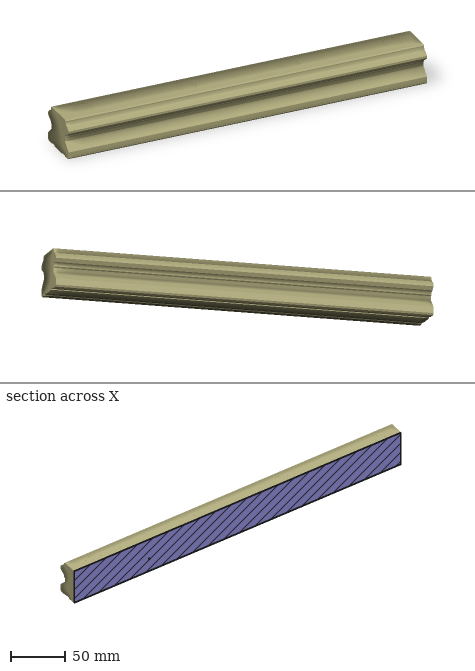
import cadquery as cq
import math

width = 45.0
length = 365.0
height = 38.0
half_width = width / 2

head_half_width = 16.0
head_chamfer = 1.1

lip_centre_z = 28.2
lip_land = 2.2
lip_flank = 3.2
lip_root_x = half_width - lip_flank
lip_land_top_z = lip_centre_z + lip_land / 2
lip_land_bottom_z = lip_centre_z - lip_land / 2
lip_root_top_z = lip_land_top_z + lip_flank
lip_root_bottom_z = lip_land_bottom_z - lip_flank

groove_sagitta = 1.1
lower_groove_end_z = 20.5

waist_half_width = 14.6
waist_top_z = 19.6
foot_side_top_z = 7.7
foot_slope = half_width - waist_half_width
waist_bottom_z = foot_side_top_z + foot_slope
foot_chamfer = 1.6

channel_inner_x = 8.5
channel_outer_x = 14.3
channel_depth = 0.9

seat_diameter = 20.0
seat_depth = 0.1
seat_pitch = 105.0
seat_count = 4


def arc_midpoint(start, end, sagitta):
    """Midpoint of an arc that bows by sagitta to the right of its chord."""
    dx = end[0] - start[0]
    dz = end[1] - start[1]
    chord = math.hypot(dx, dz)
    middle_x = (start[0] + end[0]) / 2
    middle_z = (start[1] + end[1]) / 2
    return (middle_x + dz / chord * sagitta, middle_z - dx / chord * sagitta)


def make_half_rail():
    """Extrude the +X half of the rail section, with its length centred on the origin."""
    upper_start = (head_half_width, height - head_chamfer)
    upper_end = (lip_root_x, lip_root_top_z)
    lower_start = (lip_root_x, lip_root_bottom_z)
    lower_end = (head_half_width, lower_groove_end_z)

    return (
        cq.Workplane("XZ")
        .moveTo(0, height)
        .lineTo(head_half_width - head_chamfer, height)
        .lineTo(*upper_start)
        .threePointArc(arc_midpoint(upper_start, upper_end, groove_sagitta), upper_end)
        .lineTo(half_width, lip_land_top_z)
        .lineTo(half_width, lip_land_bottom_z)
        .lineTo(*lower_start)
        .threePointArc(arc_midpoint(lower_start, lower_end, groove_sagitta), lower_end)
        .lineTo(waist_half_width, waist_top_z)
        .lineTo(waist_half_width, waist_bottom_z)
        .lineTo(half_width, foot_side_top_z)
        .lineTo(half_width, foot_chamfer)
        .lineTo(half_width - foot_chamfer, 0)
        .lineTo(channel_outer_x, 0)
        .lineTo(channel_outer_x, channel_depth)
        .lineTo(channel_inner_x, channel_depth)
        .lineTo(channel_inner_x, 0)
        .lineTo(0, 0)
        .close()
        .extrude(length / 2, both=True)
    )


def make_cap_seats():
    """Row of shallow discs sunk into the top face along the rail axis."""
    return (
        cq.Workplane("XY", origin=(0, 0, height - seat_depth))
        .rarray(1, seat_pitch, 1, seat_count)
        .circle(seat_diameter / 2)
        .extrude(seat_depth)
    )


half_rail = make_half_rail()
rail = half_rail.union(half_rail.mirror("YZ")).clean()
result = rail.cut(make_cap_seats())